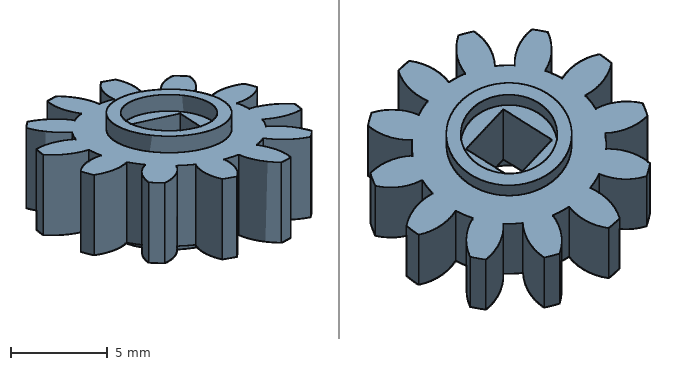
import cadquery as cq
import math

tooth_count = 12
gear_width = 4.5
root_radius = 5.03
tip_radius = 7.403
first_tooth_angle = 25.0

root_half_width = 0.81
widest_half_width = 0.912
widest_radius = 5.75
tip_half_width = 0.422

overall_height = 6.35
hub_diameter = 6.5
hub_bore_diameter = 5.0
drive_square = 3.175
hub_height = (overall_height - gear_width) / 2


def point_on_circle(radius, half_width):
    """Point at a given offset from +X on a circle about the origin."""
    return (math.sqrt(radius**2 - half_width**2), half_width)


def mirrored(point):
    """Reflect a point across the tooth's centreline."""
    return (point[0], -point[1])


def make_tooth():
    """One barrel-sided tooth along +X, its foot buried in the root disc."""
    root = point_on_circle(root_radius, root_half_width)
    widest = (widest_radius, widest_half_width)
    tip = point_on_circle(tip_radius, tip_half_width)
    foot = (root_radius / 2, root_half_width)
    return (
        cq.Workplane("XY")
        .moveTo(*mirrored(foot))
        .lineTo(*mirrored(root))
        .threePointArc(mirrored(widest), mirrored(tip))
        .threePointArc((tip_radius, 0), tip)
        .threePointArc(widest, root)
        .lineTo(*foot)
        .close()
        .extrude(gear_width / 2, both=True)
    )


def make_gear():
    """Root disc with its ring of teeth, centred on the origin."""
    gear = cq.Workplane("XY").circle(root_radius).extrude(gear_width / 2, both=True)
    tooth = make_tooth()
    for index in range(tooth_count):
        angle = first_tooth_angle + index * 360 / tooth_count
        gear = gear.union(tooth.rotate((0, 0, 0), (0, 0, 1), angle))
    return gear


def make_hub_ring(face):
    """Plain raised ring on the top (+1) or bottom (-1) face of the gear."""
    return (
        cq.Workplane("XY", origin=(0, 0, face * gear_width / 2))
        .circle(hub_diameter / 2)
        .circle(hub_bore_diameter / 2)
        .extrude(face * hub_height)
    )


result = make_gear()
for face in (1, -1):
    result = result.union(make_hub_ring(face))

drive_hole = cq.Workplane("XY").rect(drive_square, drive_square).extrude(overall_height / 2, both=True)
result = result.cut(drive_hole)